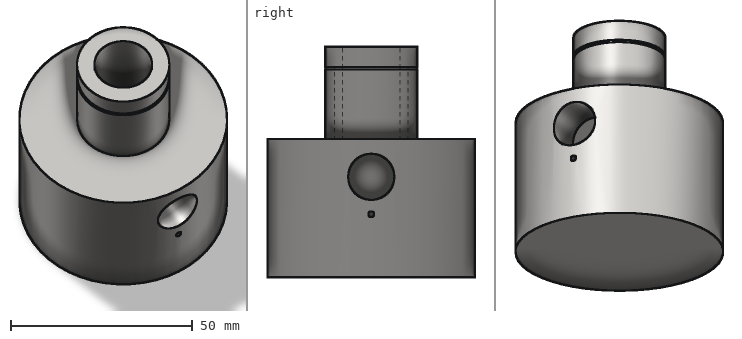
import cadquery as cq

total_height = 63.5
housing_diameter = 57.2
housing_height = 38.1
neck_diameter = 25.4
bore_diameter = 15.9

flange_height = 5.65
ring_height = 0.7
ring_recess = 0.095
spigot_diameter = 20.3
flange_base = total_height - flange_height
ring_base = flange_base - ring_height
ring_diameter = neck_diameter - 2 * ring_recess

port_diameter = 12.7
port_center_height = 27.7
port_depth = 12.7
pin_hole_diameter = 1.6
pin_hole_center_height = 17.4
pin_hole_depth = 3.2


def make_tube(outer_diameter, inner_diameter, base, top):
    """Tube on the Z axis between two heights."""
    return (
        cq.Workplane("XY", origin=(0, 0, base))
        .circle(outer_diameter / 2)
        .circle(inner_diameter / 2)
        .extrude(top - base)
    )


def make_side_hole(diameter, center_height, depth):
    """Cutter for a blind hole drilled inward along X from the +X side of the housing."""
    return (
        cq.Workplane("YZ", origin=(housing_diameter / 2 - depth, 0, center_height))
        .circle(diameter / 2)
        .extrude(depth)
    )


def make_housing():
    """Round block with a port and a smaller pin hole below it."""
    block = cq.Workplane("XY").circle(housing_diameter / 2).extrude(housing_height)
    port = make_side_hole(port_diameter, port_center_height, port_depth)
    pin_hole = make_side_hole(pin_hole_diameter, pin_hole_center_height, pin_hole_depth)
    return block.cut(port).cut(pin_hole)


def make_sleeve():
    """Outer tube of the neck, standing on the housing."""
    return make_tube(neck_diameter, spigot_diameter, housing_height, ring_base)


def make_ring():
    """Thin ring between sleeve and flange, set slightly inside the neck surface."""
    return make_tube(ring_diameter, spigot_diameter, ring_base, flange_base)


def make_bushing():
    """Top flange and the spigot below it, with one bore down to the housing."""
    spigot = make_tube(spigot_diameter, bore_diameter, housing_height, flange_base)
    flange = make_tube(neck_diameter, bore_diameter, flange_base, total_height)
    return spigot.union(flange)


housing = make_housing()
sleeve = make_sleeve()
ring = make_ring()
bushing = make_bushing()

result = cq.Compound.makeCompound([housing.val(), sleeve.val(), ring.val(), bushing.val()])